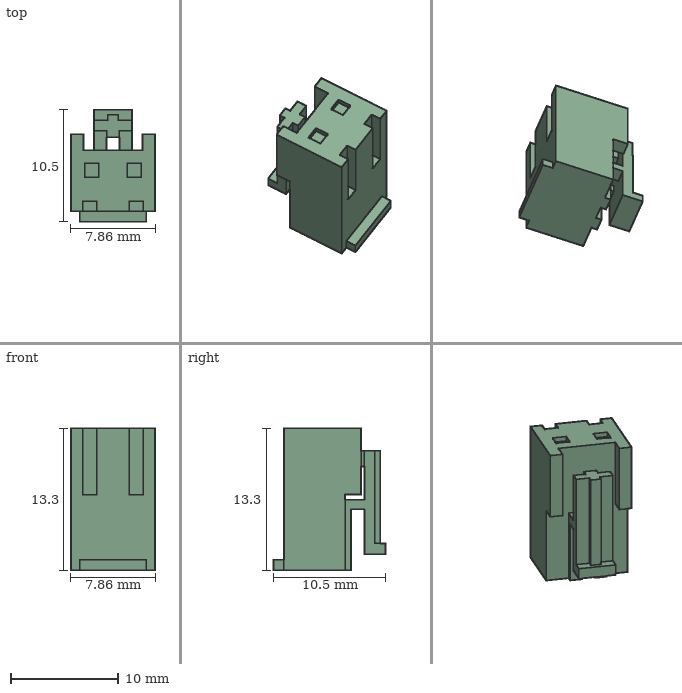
import cadquery as cq

height = 13.3
width = 7.86
body_depth = 5.72

wing_thickness = 1.18
wing_rear = 7.2
wing_bottom = 7.09

lip_width = 6.22
lip_depth = 1.0
lip_height = 1.02

slot_width = 1.3
slot_depth = 0.93
slot_spacing = 4.31
slot_bottom = wing_bottom

pocket_size = 1.32
pocket_spacing = 3.95
pocket_center_y = 3.83
pocket_depth = 0.45

latch_width = 3.55
latch_front = 7.5
latch_rear = 8.49
latch_bottom = 1.5
latch_top = 11.19
hook_rear = 9.5
hook_top = 2.53
leg_gap = 1.2
leg_pad_rear = 6.28
bridge_bottom = 5.7
bridge_top = 6.62

rib_width = 0.98
rib_rear = 9.0
stop_width = leg_gap
stop_front = 6.9
stop_bottom = 9.7


def block(x_size, y_front, y_rear, z_bottom, z_top, x_center=0.0):
    """Rectangular block centered on x_center, spanning the given Y and Z limits."""
    return (
        cq.Workplane("XY")
        .box(x_size, y_rear - y_front, z_top - z_bottom, centered=(True, False, False))
        .translate((x_center, y_front, z_bottom))
    )


def make_housing():
    housing = block(width, 0, body_depth, 0, height)
    housing = housing.union(block(lip_width, -lip_depth, 0, 0, lip_height))
    wing_center = (width - wing_thickness) / 2
    pocket_front = pocket_center_y - pocket_size / 2
    pocket_rear = pocket_center_y + pocket_size / 2
    pocket_floor = height - pocket_depth
    for side in (-1, 1):
        wing = block(wing_thickness, body_depth, wing_rear, wing_bottom, height, side * wing_center)
        slot = block(slot_width, 0, slot_depth, slot_bottom, height, side * slot_spacing / 2)
        pocket = block(
            pocket_size, pocket_front, pocket_rear, pocket_floor, height, side * pocket_spacing / 2
        )
        housing = housing.union(wing).cut(slot).cut(pocket)
    return housing


def make_latch():
    latch = block(latch_width, latch_front, latch_rear, latch_bottom, latch_top)
    hook = block(latch_width, latch_rear, hook_rear, latch_bottom, hook_top)
    rib = block(rib_width, latch_rear, rib_rear, hook_top, latch_top)
    stop = block(stop_width, stop_front, latch_front, stop_bottom, latch_top)
    latch = latch.union(hook).union(rib).union(stop)
    leg_width = (latch_width - leg_gap) / 2
    leg_center = (latch_width + leg_gap) / 4
    for side in (-1, 1):
        pad = block(leg_width, body_depth, leg_pad_rear, 0, bridge_top, side * leg_center)
        bridge = block(leg_width, body_depth, latch_front, bridge_bottom, bridge_top, side * leg_center)
        latch = latch.union(pad).union(bridge)
    return latch


result = make_housing().union(make_latch())